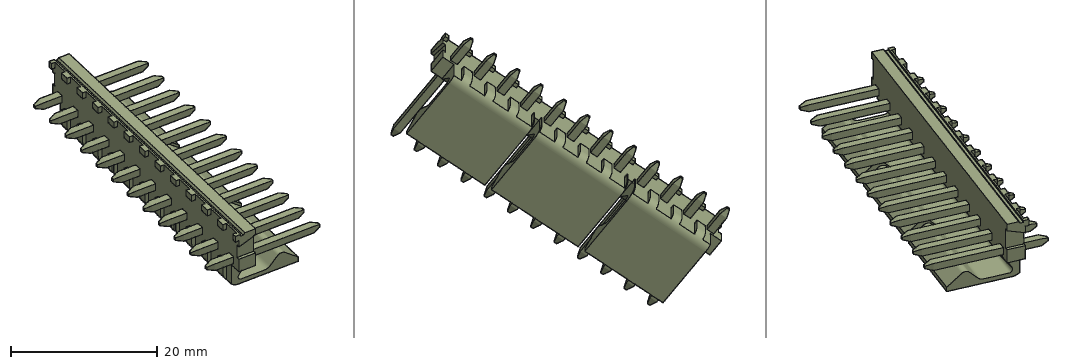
import cadquery as cq


pin_count = 12
row_span = 43.6
pin_size = 1.15
pin_tip_size = 0.45
pin_taper = 1.15
pin_front = 4.12
pin_back = 11.45
pin_z = 4.9

length = 47.4
height = 10.0
wall_thick = 2.7
wall_bottom = 3.75

groove_depth = 0.3
groove_front = 0.3
groove_floor_back = 0.7
groove_back = 1.0

notch_depth = 0.47
notch_bottom = 5.9
notch_top_front = 7.95
notch_top_back = 8.95

lug_width = 1.4
lug_out = 0.55
top_lug_height = 1.0

latch_count = 3
latch_gap = 1.15
latch_reach = 10.85
floor_thick = 0.7
outer_radius = 1.7
slope_top = 3.55
slope_foot_y = 0.55
inner_radius = 0.5
hook_height = 2.55
hook_crest_front = 7.73
hook_crest_back = 8.45
hook_foot_y = 5.9
hook_crest_radius = 0.7
hook_foot_radius = 1.25

pitch = row_span / (pin_count - 1)
pin_xs = [(i - (pin_count - 1) / 2) * pitch for i in range(pin_count)]
lug_xs = [(i - pin_count / 2) * pitch for i in range(pin_count + 1)]


def block(x_min, x_max, y_min, y_max, z_min, z_max):
    """Box given by its limits along each axis."""
    size = (x_max - x_min, y_max - y_min, z_max - z_min)
    return cq.Workplane("XY").box(*size, centered=False).translate((x_min, y_min, z_min))


def extrude_along_x(points, x_min, x_max):
    """Solid between two X positions with an outline of (y, z) points."""
    outline = cq.Workplane("YZ", origin=(x_min, 0, 0)).polyline(points).close()
    return outline.extrude(x_max - x_min)


def round_edge_at(solid, y, z, radius):
    """Fillet the edge that runs along X nearest to (y, z)."""
    middle_x = solid.val().Center().x
    return solid.edges("|X").edges(cq.NearestToPointSelector((middle_x, y, z))).fillet(radius)


def make_wall():
    half = length / 2
    wall = extrude_along_x(
        [
            (0, wall_bottom),
            (0, height),
            (groove_front, height),
            (groove_front, height - groove_depth),
            (groove_floor_back, height - groove_depth),
            (groove_back, height),
            (wall_thick, height),
            (wall_thick, wall_bottom),
        ],
        -half,
        half,
    )
    notch = [
        (0, notch_bottom),
        (0, notch_top_front),
        (wall_thick, notch_top_back),
        (wall_thick, notch_bottom),
    ]
    wall = wall.cut(extrude_along_x(notch, -half, -half + notch_depth))
    wall = wall.cut(extrude_along_x(notch, half - notch_depth, half))

    for x in lug_xs:
        x_min = max(x - lug_width / 2, -half)
        x_max = min(x + lug_width / 2, half)
        wall = wall.union(block(x_min, x_max, -lug_out, groove_front, height - top_lug_height, height))
    return wall


def make_latch(x_min, x_max):
    latch = extrude_along_x(
        [
            (-lug_out, 0),
            (-lug_out, wall_bottom),
            (wall_thick, wall_bottom),
            (wall_thick, slope_top),
            (slope_foot_y, floor_thick),
            (hook_foot_y, floor_thick),
            (hook_crest_front, hook_height),
            (hook_crest_back, hook_height),
            (latch_reach, floor_thick),
            (latch_reach, 0),
        ],
        x_min,
        x_max,
    )
    latch = round_edge_at(latch, -lug_out, 0, outer_radius)
    latch = round_edge_at(latch, slope_foot_y, floor_thick, inner_radius)
    latch = round_edge_at(latch, hook_foot_y, floor_thick, hook_foot_radius)
    latch = round_edge_at(latch, hook_crest_front, hook_height, hook_crest_radius)
    latch = round_edge_at(latch, hook_crest_back, hook_height, hook_crest_radius)

    half_recess = (pitch - lug_width) / 2
    for x in pin_xs:
        latch = latch.cut(block(x - half_recess, x + half_recess, -lug_out, 0, 0, wall_bottom))
    return latch


def make_pin(x):
    def tip(y_base, direction):
        plane = cq.Plane(origin=(x, y_base, pin_z), xDir=(1, 0, 0), normal=(0, direction, 0))
        base = cq.Workplane(plane).rect(pin_size, pin_size)
        return base.workplane(offset=pin_taper).rect(pin_tip_size, pin_tip_size).loft()

    shank_front = -pin_front + pin_taper
    shank_back = wall_thick + pin_back - pin_taper
    half = pin_size / 2
    shank = block(x - half, x + half, shank_front, shank_back, pin_z - half, pin_z + half)
    return shank.union(tip(shank_front, -1)).union(tip(shank_back, 1))


result = make_wall()

latch_pitch = pitch * pin_count / latch_count
for i in range(latch_count):
    latch_middle = (i - (latch_count - 1) / 2) * latch_pitch
    latch_start = max(latch_middle - (latch_pitch - latch_gap) / 2, pin_xs[0])
    latch_end = min(latch_middle + (latch_pitch - latch_gap) / 2, pin_xs[-1])
    result = result.union(make_latch(latch_start, latch_end))

for pin_x in pin_xs:
    result = result.union(make_pin(pin_x))